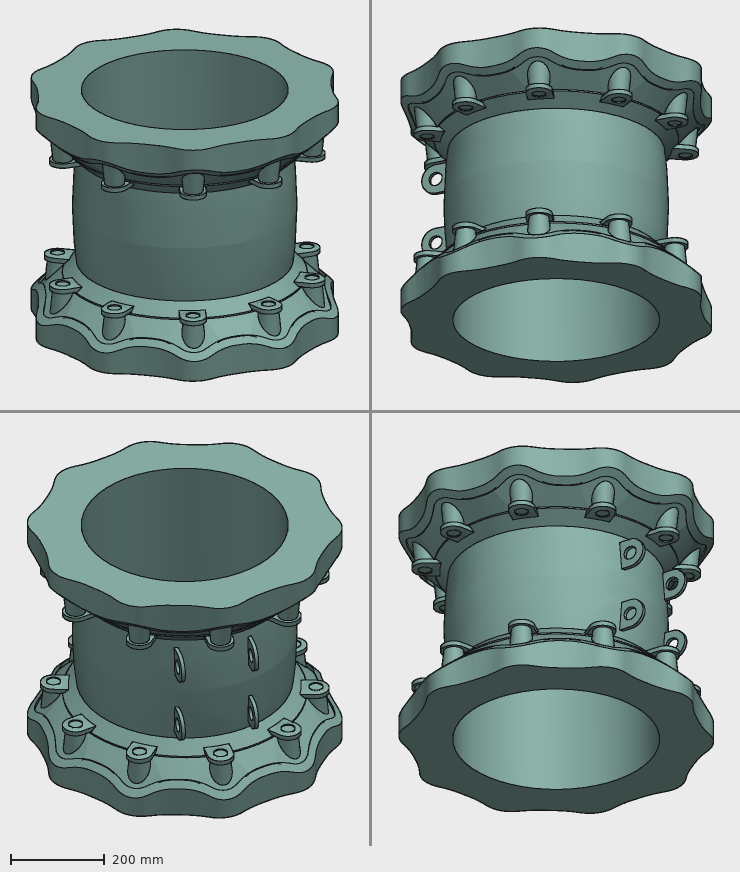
import cadquery as cq
import math

height = 535.0
half_height = height / 2
bore_radius = 442.0 / 2

neck_radius = 232.0
neck_height = 142.5
waist_radius = 240.0

lobe_count = 10
lobe_pitch = 360 / lobe_count
first_lobe_angle = 90
tip_radius = 336.5
lobe_radius = 67
root_radius = 314.0
blend_radius = 215

rim_height = 46.0
back_slope = (neck_height - rim_height) / (tip_radius - neck_radius)
rim_width = 15.5
edge_overlap = 7
recess_inner_radius = 262.0
recess_depth = 3.5
recess_slope = 0.89

flat_start_radius = recess_inner_radius
flat_depth = 4.0
flat_slope = 1.02

boss_circle_radius = 280.5
boss_top_radius = 21.5
boss_draft = 6
boss_bottom_height = 33.5
pad_radius = 28.0
pad_bottom_height = 117.0
pad_top_height = 127.0
pad_inner_radius = 239.0
seat_height = 3.0
seat_hole_radius = 30.0 / 2

lug_radius = 33.0
lug_hole_radius = 30.0 / 2
lug_centre_y = 245.0
lug_offset_z = 74
lug_outer_x = 85.5
lug_thickness = 8.0
lug_root_y = 212.0


def polar(radius, angle):
    """Point at a radius and an angle in degrees."""
    turn = math.radians(angle)
    return radius * math.cos(turn), radius * math.sin(turn)


def between(start, end, fraction):
    """Point part of the way from start to end."""
    return tuple(a + (b - a) * fraction for a, b in zip(start, end))


def toward(start, end, distance):
    """Point at a distance from start in the direction of end."""
    return between(start, end, distance / math.dist(start, end))


def back_height(radius):
    """Height of the flange's conical back at a radius."""
    return neck_height - back_slope * (radius - neck_radius)


def flange_outline():
    """Closed wire of lobe, blend and root arcs, tangent to each other."""
    lobe_centre_radius = tip_radius - lobe_radius
    blend_centre_radius = root_radius + blend_radius
    cosine = (
        blend_centre_radius**2 + lobe_centre_radius**2 - (lobe_radius + blend_radius) ** 2
    ) / (2 * blend_centre_radius * lobe_centre_radius)
    blend_angle = math.degrees(math.acos(cosine))

    def blend_points(lobe_angle, side):
        """Lobe end, middle and root end of the blend on one side of a lobe."""
        lobe_centre = polar(lobe_centre_radius, lobe_angle)
        centre = polar(blend_centre_radius, lobe_angle + side * blend_angle)
        lobe_end = toward(centre, lobe_centre, blend_radius)
        root_end = toward(centre, (0, 0), blend_radius)
        middle = toward(centre, between(lobe_end, root_end, 0.5), blend_radius)
        return lobe_end, middle, root_end

    outline = cq.Workplane("XY").moveTo(*blend_points(first_lobe_angle, -1)[0])
    for index in range(lobe_count):
        angle = first_lobe_angle + index * lobe_pitch
        next_angle = angle + lobe_pitch
        lobe_end, leaving_middle, root_start = blend_points(angle, 1)
        next_lobe_start, arriving_middle, root_end = blend_points(next_angle, -1)
        outline = (
            outline.threePointArc(polar(tip_radius, angle), lobe_end)
            .threePointArc(leaving_middle, root_start)
            .threePointArc(polar(root_radius, angle + lobe_pitch / 2), root_end)
            .threePointArc(arriving_middle, next_lobe_start)
        )
    return outline.close()


def spin(profile):
    """Solid of revolution about Z of a profile drawn as radius and height."""
    return profile.revolve(360, (0, 0, 0), (0, 1, 0))


def barrel():
    """Bulged barrel from the end face to the middle plane, before boring."""
    sagitta = waist_radius - neck_radius
    half_chord = half_height - neck_height
    bulge_radius = (half_chord**2 + sagitta**2) / (2 * sagitta)
    middle_angle = math.asin(half_chord / bulge_radius) / 2
    arc_middle = (
        waist_radius - bulge_radius * (1 - math.cos(middle_angle)),
        half_height - bulge_radius * math.sin(middle_angle),
    )
    return spin(
        cq.Workplane("XZ")
        .lineTo(neck_radius, 0)
        .lineTo(neck_radius, neck_height)
        .threePointArc(arc_middle, (waist_radius, half_height))
        .lineTo(0, half_height)
        .close()
    )


def boss_flat():
    """Cutter above the sloping flat of the boss on the +X axis."""
    start_height = back_height(flat_start_radius) - flat_depth
    end_height = start_height - flat_slope * (tip_radius - flat_start_radius)
    width = 2 * tip_radius * math.sin(math.radians(lobe_pitch / 2))
    return (
        cq.Workplane("XZ")
        .moveTo(flat_start_radius, start_height)
        .lineTo(tip_radius, end_height)
        .lineTo(tip_radius, neck_height)
        .lineTo(flat_start_radius, neck_height)
        .close()
        .extrude(width / 2, both=True)
    )


def at_every_lobe(shape):
    """Copies of a shape made on the +X axis, one turned to each lobe."""
    for index in range(lobe_count):
        yield shape.rotate((0, 0, 0), (0, 0, 1), first_lobe_angle + index * lobe_pitch)


def flange():
    """Lobed flange with its recessed conical back."""
    cone_edge_radius = tip_radius + edge_overlap
    back_cone = spin(
        cq.Workplane("XZ").polyline(
            [
                (0, 0),
                (cone_edge_radius, 0),
                (cone_edge_radius, back_height(cone_edge_radius)),
                (neck_radius, neck_height),
                (0, neck_height),
            ]
        ).close()
    )
    recess_top = back_height(recess_inner_radius) - recess_depth
    recess_bottom = recess_top - recess_slope * (tip_radius - recess_inner_radius)
    recess = spin(
        cq.Workplane("XZ").polyline(
            [
                (recess_inner_radius, recess_top),
                (tip_radius, recess_bottom),
                (tip_radius, neck_height),
                (recess_inner_radius, neck_height),
            ]
        ).close()
    )
    for flat in at_every_lobe(boss_flat()):
        recess = recess.union(flat)
    inside_rim = flange_outline().offset2D(-rim_width).extrude(neck_height)
    blank = flange_outline().extrude(neck_height).intersect(back_cone)
    return blank.cut(recess.intersect(inside_rim))


def boss():
    """Drafted boss with pad and seat, on the +X axis."""
    column_height = pad_bottom_height - boss_bottom_height
    spread = column_height * math.tan(math.radians(boss_draft))
    turned_parts = spin(
        cq.Workplane("XZ").polyline(
            [
                (0, boss_bottom_height),
                (boss_top_radius + spread, boss_bottom_height),
                (boss_top_radius, pad_bottom_height),
                (pad_radius, pad_bottom_height),
                (pad_radius, pad_top_height),
                (seat_hole_radius, pad_top_height + seat_height),
                (seat_hole_radius, pad_top_height),
                (0, pad_top_height),
            ]
        ).close()
    ).translate((boss_circle_radius, 0, 0))
    pad_root = cq.Workplane("XY").box(
        boss_circle_radius - pad_inner_radius,
        2 * pad_radius,
        pad_top_height - pad_bottom_height,
        centered=(False, True, False),
    ).translate((pad_inner_radius, 0, pad_bottom_height))
    return turned_parts.union(pad_root)


def lug(start_x):
    """Round-ended plate parallel to the YZ plane, with a hole, from start_x toward +X."""
    root_length = lug_centre_y - lug_root_y
    centre_z = half_height - lug_offset_z

    def plate_at(centre_y):
        """Sketch centre on the lug's face."""
        return cq.Workplane("YZ", origin=(start_x, centre_y, centre_z))

    eye = plate_at(lug_centre_y).circle(lug_radius).extrude(lug_thickness)
    root = (
        plate_at(lug_centre_y - root_length / 2)
        .rect(root_length, 2 * lug_radius)
        .extrude(lug_thickness)
    )
    hole = plate_at(lug_centre_y).circle(lug_hole_radius).extrude(lug_thickness)
    return eye.union(root).cut(hole)


lower_half = barrel().union(flange())
for placed_boss in at_every_lobe(boss()):
    lower_half = lower_half.union(placed_boss)
for lug_x in (-lug_outer_x, lug_outer_x - lug_thickness):
    lower_half = lower_half.union(lug(lug_x))

lower_half = lower_half.translate((0, 0, -half_height))
bore = cq.Workplane("XY", origin=(0, 0, -half_height)).circle(bore_radius).extrude(height)
result = lower_half.union(lower_half.mirror("XY")).cut(bore)